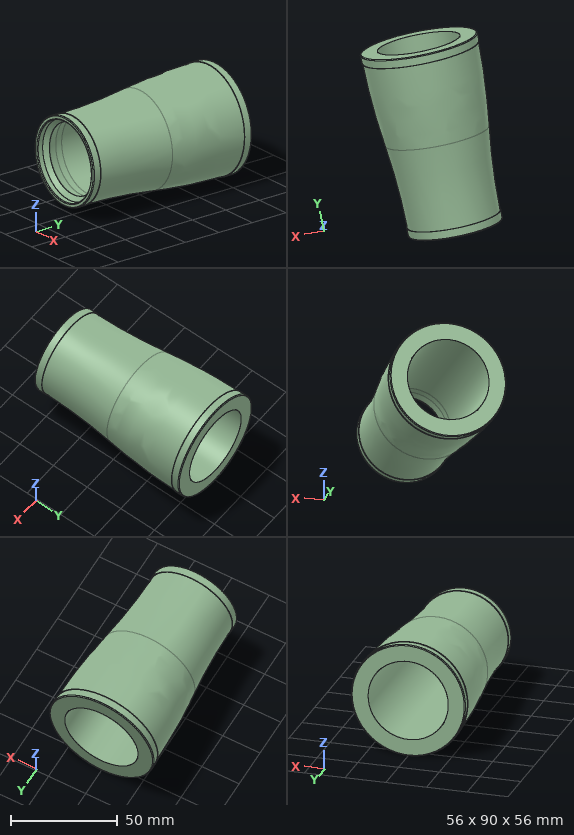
import cadquery as cq
import math

length = 90.0
rear_radius = 28.0
front_radius = 22.5
collar_length = 4.3
collar_step = 0.3
edge_chamfer = 0.45

body_rear_radius = rear_radius - collar_step
body_front_radius = front_radius - collar_step
middle_radius = (body_rear_radius + body_front_radius) / 2

socket_radius = 20.25
mouth_chamfer = 0.45
throat_radius = 18.0
seat_start = 3.15
seat_end = seat_start + socket_radius - throat_radius
throat_length = 0.3
throat_end = seat_end + throat_length
flare_end = 10.1
flare_end_radius = 19.2
blend_end = 14.0
flare_slope = (flare_end_radius - throat_radius) / (flare_end - throat_end)
flare_angle = math.atan(flare_slope)
blend_radius = (blend_end - flare_end) / math.sin(flare_angle)
bore_radius = flare_end_radius + blend_radius * (1 - math.cos(flare_angle))

rear_collar_start = length - collar_length
middle = length / 2


def swell_arc_radius(run, rise):
    """Radius of an arc starting parallel to the axis and climbing by rise over run."""
    return (run**2 + rise**2) / (2 * rise)


swell_radius = swell_arc_radius(middle - collar_length, middle_radius - body_front_radius)

profile = (
    cq.Workplane("XY")
    .moveTo(socket_radius + mouth_chamfer, 0)
    .lineTo(front_radius - edge_chamfer, 0)
    .lineTo(front_radius, edge_chamfer)
    .lineTo(front_radius, collar_length)
    .lineTo(body_front_radius, collar_length)
    .radiusArc((middle_radius, middle), swell_radius)
    .radiusArc((body_rear_radius, rear_collar_start), -swell_radius)
    .lineTo(rear_radius, rear_collar_start)
    .lineTo(rear_radius, length - edge_chamfer)
    .lineTo(rear_radius - edge_chamfer, length)
    .lineTo(bore_radius, length)
    .lineTo(bore_radius, blend_end)
    .radiusArc((flare_end_radius, flare_end), blend_radius)
    .lineTo(throat_radius, throat_end)
    .lineTo(throat_radius, seat_end)
    .lineTo(socket_radius, seat_start)
    .lineTo(socket_radius, mouth_chamfer)
    .close()
)

result = profile.revolve(360, (0, 0, 0), (0, 1, 0))